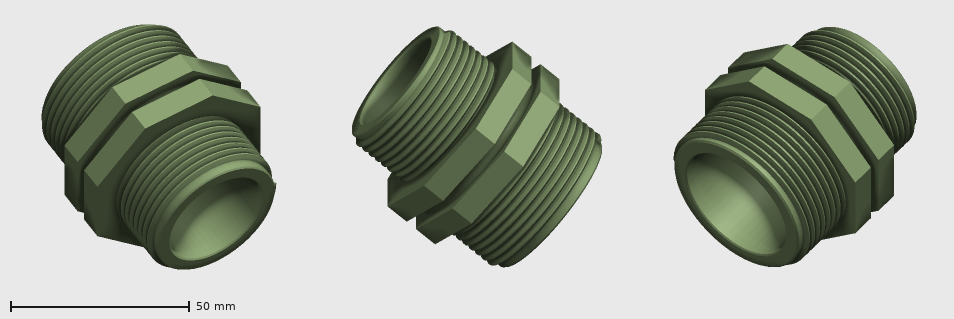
import cadquery as cq
import math

length = 57.5
collar_width = 7.0
collar_gap = 3.45
collar_across_flats = 54.0
collar_sides = 8

left_root_diameter = 44.85
right_root_diameter = 38.9
left_outer_chamfer = 0.5
right_outer_chamfer = 0.4
thread_pitch = 2.3
thread_turns = 8
thread_inset = 2.2
thread_height = 1.5
thread_crest_width = 0.4
flank_half_angle = 27.5
thread_overlap = 0.2

left_bore_diameter = 35.6
right_bore_diameter = 30.5
bore_chamfer = 0.4

middle = length / 2
groove_radius = collar_gap / 2
barrel_length = (length - collar_gap) / 2 - collar_width
thread_length = thread_pitch * thread_turns
step_radius = (left_bore_diameter - right_bore_diameter) / 2


def rod(diameter, start, rod_length):
    """Solid cylinder along X."""
    return cq.Workplane("YZ", origin=(start, 0, 0)).circle(diameter / 2).extrude(rod_length)


def make_collars():
    """Octagonal wrench block split by a round-bottomed groove."""
    corner_diameter = collar_across_flats / math.cos(math.pi / collar_sides)
    block = (
        cq.Workplane("YZ", origin=(barrel_length, 0, 0))
        .transformed(rotate=(0, 0, 180 / collar_sides))
        .polygon(collar_sides, corner_diameter)
        .extrude(2 * collar_width + collar_gap)
    )
    floor = left_root_diameter / 2
    arc_center = floor + groove_radius
    outside = corner_diameter
    groove = (
        cq.Workplane("XY")
        .moveTo(middle - groove_radius, outside)
        .lineTo(middle - groove_radius, arc_center)
        .threePointArc((middle, floor), (middle + groove_radius, arc_center))
        .lineTo(middle + groove_radius, outside)
        .close()
        .revolve(360, (0, 0, 0), (1, 0, 0))
    )
    return block.cut(groove)


def make_thread(root_diameter, start):
    """Right-handed ridge around X, starting on the +Y side."""
    root = root_diameter / 2
    base = root - thread_overlap
    crest = root + thread_height
    half_crest = thread_crest_width / 2
    half_base = half_crest + (crest - base) * math.tan(math.radians(flank_half_angle))
    helix = cq.Wire.makeHelix(thread_pitch, thread_length, root)
    ridge = (
        cq.Workplane("XZ")
        .polyline([(base, -half_base), (crest, -half_crest), (crest, half_crest), (base, half_base)])
        .close()
        .sweep(cq.Workplane(helix), isFrenet=True)
    )
    ridge = ridge.rotate((0, 0, 0), (0, 0, 1), 90).rotate((0, 0, 0), (0, 1, 0), 90)
    return ridge.translate((start, 0, 0))


def make_bore():
    """Revolved bore with a filleted step at mid-length and a chamfer at each mouth."""
    left = left_bore_diameter / 2
    right = right_bore_diameter / 2
    arc_offset = step_radius * math.sqrt(0.5)
    arc_start = middle - step_radius
    return (
        cq.Workplane("XY")
        .moveTo(0, 0)
        .lineTo(0, left + bore_chamfer)
        .lineTo(bore_chamfer, left)
        .lineTo(arc_start, left)
        .threePointArc((arc_start + arc_offset, right + arc_offset), (middle, right))
        .lineTo(length - bore_chamfer, right)
        .lineTo(length, right + bore_chamfer)
        .lineTo(length, 0)
        .close()
        .revolve(360, (0, 0, 0), (1, 0, 0))
    )


left_barrel = rod(left_root_diameter, 0, middle).faces("<X").chamfer(left_outer_chamfer)
right_barrel = rod(right_root_diameter, middle, middle).faces(">X").chamfer(right_outer_chamfer)
left_thread = make_thread(left_root_diameter, thread_inset)
right_thread = make_thread(right_root_diameter, length - thread_inset - thread_length)

result = (
    left_barrel.union(right_barrel)
    .union(left_thread)
    .union(right_thread)
    .union(make_collars())
    .cut(make_bore())
)